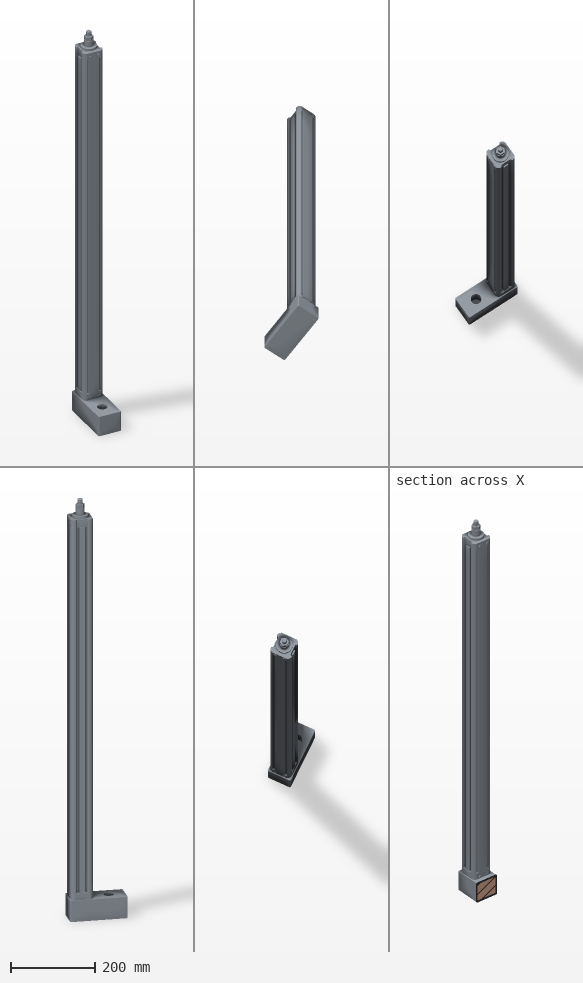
import cadquery as cq

total_height = 1051.0
base_length = 140.0
base_width = 60.0
base_height = 53.0
base_corner_radius = 3.0

base_center_x = 40.0
base_bore_x = 70.0
base_bore_diameter = 25.0
base_bore_depth = 40.0

column_size = 54.0
column_half = column_size / 2
column_flat_half = 19.3
column_corner_radius = 13.0
column_top = total_height - 45.0
bottom_cap_height = 17.0
top_cap_height = 20.0
profile_bottom = base_height + bottom_cap_height
profile_top = column_top - top_cap_height

channel_mouth_width = 31.5
channel_floor_width = 25.5
channel_depth = 4.5
rib_width = 13.0
rib_height = 3.0
slot_width = 4.5
slot_depth = 4.0

groove_width = 6.0
groove_depth = 2.5
groove_step_width = 3.0
groove_step_depth = 2.5
groove_offset = column_flat_half - groove_width / 2

screw_diameter = 3.0
screw_depth = 8.0
screw_head_diameter = 6.0
screw_head_depth = 3.0
screw_spacing = 22.0
screw_end_distance = 8.0

flange_diameter = 39.0
flange_height = 6.0
rod_diameter = 22.0
nut_across_flats = 19.0
nut_height = 10.0
nut_turn = 30.0
tip_diameter = 12.0
tip_length = 13.0
tip_chamfer = 1.5
nut_top = total_height - tip_length
nut_bottom = nut_top - nut_height


def make_base():
    """Rounded block with a blind bore beside the column."""
    return (
        cq.Workplane("XY")
        .center(base_center_x, 0)
        .rect(base_length, base_width)
        .extrude(base_height)
        .edges("|Z")
        .fillet(base_corner_radius)
        .faces(">Z")
        .workplane(origin=(base_bore_x, 0, base_height))
        .hole(base_bore_diameter, base_bore_depth)
    )


def make_front_channel():
    """Cutter for the sloped front channel, leaving the centre rib between the caps."""
    face = -column_half
    floor = face + channel_depth
    channel = (
        cq.Workplane("XY", origin=(0, 0, profile_bottom))
        .polyline([
            (-channel_mouth_width / 2, face),
            (channel_mouth_width / 2, face),
            (channel_floor_width / 2, floor),
            (-channel_floor_width / 2, floor),
        ])
        .close()
        .extrude(column_top - profile_bottom)
    )
    rib = (
        cq.Workplane("XY", origin=(0, floor - rib_height / 2, profile_bottom))
        .rect(rib_width, rib_height)
        .extrude(profile_top - profile_bottom)
    )
    slot_x = (rib_width + slot_width) / 2
    slots = (
        cq.Workplane("XY", origin=(0, floor + slot_depth / 2, profile_bottom))
        .pushPoints([(-slot_x, 0), (slot_x, 0)])
        .rect(slot_width, slot_depth)
        .extrude(profile_top - profile_bottom)
    )
    return channel.cut(rib).union(slots)


def make_grooves(width, depth):
    """Pair of straight grooves of the left side face, between the end caps."""
    return (
        cq.Workplane("XY", origin=(-column_half + depth / 2, 0, profile_bottom))
        .pushPoints([(0, -groove_offset), (0, groove_offset)])
        .rect(depth, width)
        .extrude(profile_top - profile_bottom)
    )


def make_side_holes(diameter, depth):
    """Four holes of the left side face, two in each end cap."""
    heights = [base_height + screw_end_distance, column_top - screw_end_distance]
    return (
        cq.Workplane("YZ", origin=(-column_half, 0, 0))
        .pushPoints([(side * screw_spacing / 2, z) for side in (-1, 1) for z in heights])
        .circle(diameter / 2)
        .extrude(depth)
    )


def make_side_cuts():
    """Cutter for the stepped grooves and counterbored holes of the left side face."""
    return (
        make_grooves(groove_width, groove_depth)
        .union(make_grooves(groove_step_width, groove_depth + groove_step_depth))
        .union(make_side_holes(screw_diameter, screw_depth))
        .union(make_side_holes(screw_head_diameter, screw_head_depth))
    )


def quarter_turn(point):
    """Turn a point in the XY plane a quarter counter-clockwise about the column axis."""
    x, y = point
    return (-y, x)


def make_column():
    """Square column, cut alike on opposite faces."""
    outline = cq.Workplane("XY", origin=(0, 0, base_height)).moveTo(-column_flat_half, -column_half)
    flat_start = (-column_flat_half, -column_half)
    flat_end = (column_flat_half, -column_half)
    for _ in range(4):
        outline = outline.lineTo(*flat_end)
        flat_start = quarter_turn(flat_start)
        flat_end = quarter_turn(flat_end)
        outline = outline.radiusArc(flat_start, -column_corner_radius)
    column = outline.close().extrude(column_top - base_height)
    for cutter in (make_front_channel(), make_side_cuts()):
        opposite = cutter.rotate((0, 0, 0), (0, 0, 1), 180)
        column = column.cut(cutter).cut(opposite)
    return column


def make_rod():
    """Flange, rod, hexagon nut and tip stacked on the column."""
    flange = cq.Workplane("XY", origin=(0, 0, column_top)).circle(flange_diameter / 2).extrude(flange_height)
    rod = (
        cq.Workplane("XY", origin=(0, 0, column_top))
        .circle(rod_diameter / 2)
        .extrude(nut_bottom - column_top)
    )
    nut = (
        cq.Workplane("XY", origin=(0, 0, nut_bottom))
        .polygon(6, nut_across_flats, circumscribed=True)
        .extrude(nut_height)
        .rotate((0, 0, 0), (0, 0, 1), nut_turn)
    )
    tip = (
        cq.Workplane("XY", origin=(0, 0, nut_top))
        .circle(tip_diameter / 2)
        .extrude(tip_length)
        .faces(">Z")
        .chamfer(tip_chamfer)
    )
    return flange.union(rod).union(nut).union(tip)


result = make_base().union(make_column()).union(make_rod())